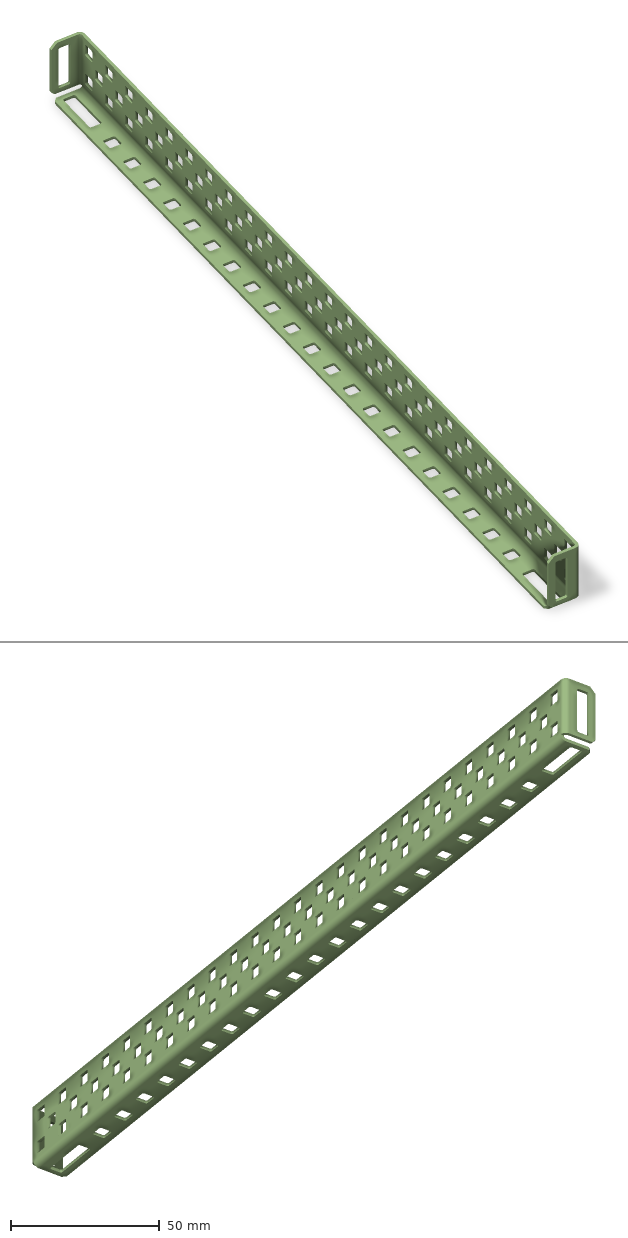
import cadquery as cq

length = 317.5
depth = 12.7
height = 24.0

thickness = 1.17
bend_radius = 2.05
inner_radius = bend_radius - thickness

upper_corner_cut = 2.2
lower_corner_cut = 1.3

pitch = 12.7
half_pitch = pitch / 2
hole_size = 4.8
hole_corner_radius = 0.5
holes_per_slot = 2
slot_length = (holes_per_slot - 1) * pitch + hole_size
flange_row_y = -7.5
lower_row_z = half_pitch
middle_row_z = lower_row_z + half_pitch
upper_row_z = middle_row_z + half_pitch
outer_row_count = round(length / pitch)
middle_row_count = outer_row_count - 1
flange_hole_count = outer_row_count - 2 * holes_per_slot


def bent_sheet(plane, x_leg, y_leg, width):
    """Sheet folded along a line: an L with its sharp outer corner at the plane's origin."""
    return (
        cq.Workplane(plane)
        .moveTo(bend_radius, 0)
        .lineTo(x_leg, 0)
        .lineTo(x_leg, thickness)
        .lineTo(bend_radius, thickness)
        .radiusArc((thickness, bend_radius), inner_radius)
        .lineTo(thickness, y_leg)
        .lineTo(0, y_leg)
        .lineTo(0, bend_radius)
        .radiusArc((bend_radius, 0), -bend_radius)
        .close()
        .extrude(width)
    )


def row(first, count):
    """Positions along X of one row of holes."""
    return [first + pitch * i for i in range(count)]


def openings(plane, centres, x_size, y_size):
    """Cutters one sheet thick: rectangles with rounded corners."""
    outline = cq.Sketch().rect(x_size, y_size).vertices().fillet(hole_corner_radius)
    return cq.Workplane(plane).pushPoints(centres).placeSketch(outline).extrude(thickness)


def back_wall_and_bottom_flange():
    """Back wall and bottom flange, stopping short of the bends at both ends."""
    plane = cq.Plane(origin=(bend_radius, 0, 0), xDir=(0, 0, 1), normal=(1, 0, 0))
    walls = bent_sheet(plane, height, depth, length - 2 * bend_radius)
    return walls.faces("<Y").edges("|Z").chamfer(lower_corner_cut)


def end_flange():
    """Slotted flange at X = 0, standing clear above the bottom bend."""
    plane = cq.Plane(origin=(0, 0, bend_radius), xDir=(0, -1, 0), normal=(0, 0, 1))
    back_leg = bend_radius + thickness
    flange = bent_sheet(plane, depth, back_leg, height - bend_radius)
    flange = flange.faces("<Y").edges(">Z").chamfer(upper_corner_cut)
    flange = flange.faces("<Y").edges("<Z").chamfer(lower_corner_cut)
    return flange.cut(openings("YZ", [(flange_row_y, middle_row_z)], hole_size, slot_length))


def back_wall_holes():
    """Three staggered rows of square holes through the back wall."""
    outer_row = row(half_pitch, outer_row_count)
    centres = [(x, z) for z in (lower_row_z, upper_row_z) for x in outer_row]
    centres += [(x, middle_row_z) for x in row(pitch, middle_row_count)]
    return openings("XZ", centres, hole_size, hole_size)


def bottom_flange_openings():
    """One row of square holes with a lengthwise slot at each end."""
    first_hole_x = half_pitch + holes_per_slot * pitch
    hole_centres = [(x, flange_row_y) for x in row(first_hole_x, flange_hole_count)]
    slot_centres = [(x, flange_row_y) for x in (pitch, length - pitch)]
    holes = openings("XY", hole_centres, hole_size, hole_size)
    slots = openings("XY", slot_centres, slot_length, hole_size)
    return holes.union(slots)


near_flange = end_flange()
far_flange = near_flange.mirror("YZ").translate((length, 0, 0))

result = (
    back_wall_and_bottom_flange()
    .union(near_flange)
    .union(far_flange)
    .cut(back_wall_holes())
    .cut(bottom_flange_openings())
)